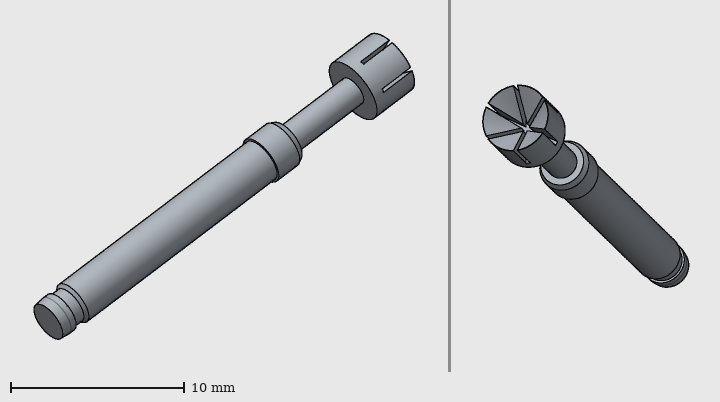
import cadquery as cq

LENGTH = 27.3

HEAD_DIAMETER = 4.0
HEAD_LENGTH = 3.0
RIM_WIDTH = 0.03
SLOT_COUNT = 6
SLOT_WIDTH = 0.25
SLOT_DEPTH = 2.27

SHAFT_DIAMETER = 1.8

RING_DIAMETER = 3.0
RING_BOTTOM = 16.95
RING_TOP = 19.0
RING_CHAMFER_LENGTH = 0.38
RING_CHAMFER_WIDTH = 0.2

BARREL_DIAMETER = 2.7
BARREL_BOTTOM = 1.75

GROOVE_DIAMETER = 2.3
TIP_DIAMETER = 2.57
TIP_LENGTH = 1.0
TIP_END_DIAMETER = 2.43
TIP_TAPER_LENGTH = 0.6

BARREL_CHAMFER = (BARREL_DIAMETER - GROOVE_DIAMETER) / 2

RECESS_RADIUS = HEAD_DIAMETER / 2 - RIM_WIDTH
RECESS_DEPTH = RECESS_RADIUS

HEAD_BOTTOM = LENGTH - HEAD_LENGTH


def turned_body():
    """Revolve the half outline, from the tail end up to the head rim and into the recess."""
    tip_end_radius = TIP_END_DIAMETER / 2
    tip_radius = TIP_DIAMETER / 2
    groove_radius = GROOVE_DIAMETER / 2
    barrel_radius = BARREL_DIAMETER / 2
    ring_radius = RING_DIAMETER / 2
    shaft_radius = SHAFT_DIAMETER / 2
    head_radius = HEAD_DIAMETER / 2

    outline = [
        (0, 0),
        (tip_end_radius, 0),
        (tip_radius, TIP_TAPER_LENGTH),
        (tip_radius, TIP_LENGTH),
        (groove_radius, TIP_LENGTH),
        (groove_radius, BARREL_BOTTOM),
        (barrel_radius, BARREL_BOTTOM + BARREL_CHAMFER),
        (barrel_radius, RING_BOTTOM),
        (ring_radius, RING_BOTTOM),
        (ring_radius, RING_TOP - RING_CHAMFER_LENGTH),
        (ring_radius - RING_CHAMFER_WIDTH, RING_TOP),
        (shaft_radius, RING_TOP),
        (shaft_radius, HEAD_BOTTOM),
        (head_radius, HEAD_BOTTOM),
        (head_radius, LENGTH),
        (RECESS_RADIUS, LENGTH),
        (0, LENGTH - RECESS_DEPTH),
    ]
    return cq.Workplane("XY").polyline(outline).close().revolve(360, (0, 0, 0), (0, 1, 0))


def cut_head_slots(body):
    """Cut the evenly spaced slots, the first pair pointing along +Z and -Z."""
    blade = cq.Workplane("XY").box(SLOT_WIDTH, SLOT_DEPTH, HEAD_DIAMETER)
    blade = blade.translate((0, LENGTH - SLOT_DEPTH / 2, 0))
    for index in range(SLOT_COUNT // 2):
        angle = index * 360 / SLOT_COUNT
        body = body.cut(blade.rotate((0, 0, 0), (0, 1, 0), angle))
    return body


result = cut_head_slots(turned_body())